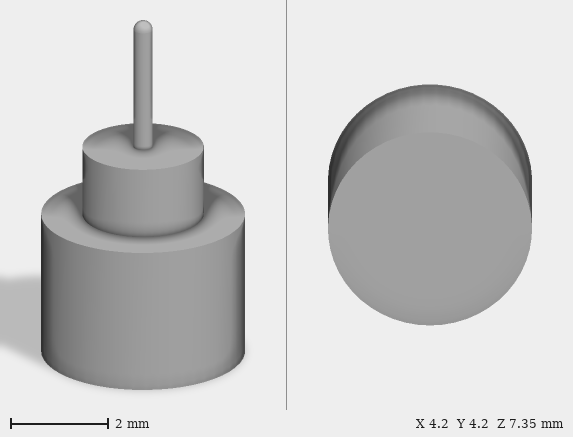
import cadquery as cq

total_height = 7.35

body_diameter = 4.2
body_height = 3.05

collar_diameter = 2.5
collar_height = 1.5

pin_diameter = 0.4
tip_radius = pin_diameter / 2
tip_base_z = total_height - tip_radius
collar_top_z = body_height + collar_height


def make_cylinder(diameter, height, base_z):
    """Upright cylinder on the Z axis, standing at base_z."""
    return cq.Workplane("XY").workplane(offset=base_z).circle(diameter / 2).extrude(height)


body = make_cylinder(body_diameter, body_height, 0)
collar = make_cylinder(collar_diameter, collar_height, body_height)
pin = make_cylinder(pin_diameter, tip_base_z - collar_top_z, collar_top_z)
tip = cq.Workplane("XY").workplane(offset=tip_base_z).sphere(tip_radius)

result = body.union(collar).union(pin).union(tip)